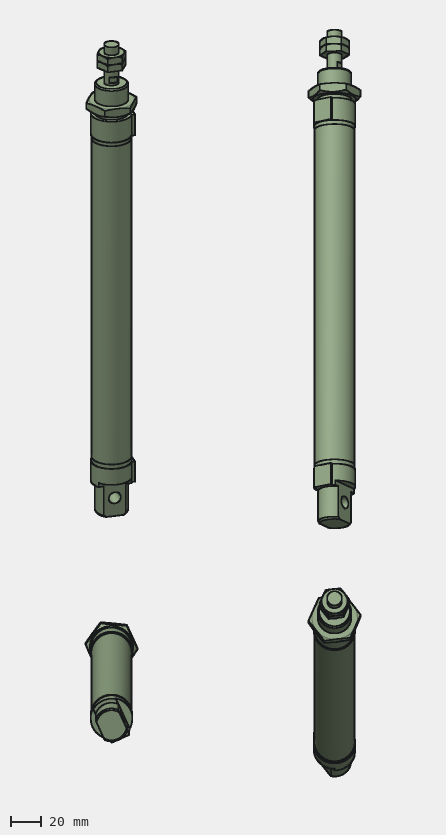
import cadquery as cq
import math

TOTAL_LENGTH = 339.0
REAR_CAP_BOTTOM = 22.5
FLATS_TOP = 25.5
REAR_CAP_TOP = 37.0
REAR_CRIMP_TOP = 40.0
FRONT_CRIMP_BOTTOM = 271.2
FRONT_CAP_BOTTOM = 274.0
FRONT_CAP_TOP = 289.0
NECK_TOP = 311.2

BARREL_DIAMETER = 26.5
CRIMP_DIAMETER = 26.8
CAP_DIAMETER = 27.5
NECK_DIAMETER = 22.0
NECK_CHAMFER = 1.0
PORT_PAD_WIDTH = 13.0
PORT_PAD_REACH = 14.2

TONGUE_THICKNESS = 16.3
TONGUE_CHAMFER_WIDTH = 1.0
TONGUE_CHAMFER_HEIGHT = 1.5
PIVOT_DIAMETER = 8.0
PIVOT_HEIGHT = 13.2

ROD_DIAMETER = 10.0
WRENCH_FLAT_SPAN = 8.0
WRENCH_FLAT_LENGTH = 4.0
WRENCH_FLAT_CENTER = 315.0

MOUNTING_NUT_SPAN = 30.0
MOUNTING_NUT_HEIGHT = 6.5
MOUNTING_NUT_BOTTOM = 292.5
MOUNTING_NUT_TOP_ANGLE = 15.0
MOUNTING_NUT_LOWER_FACE = 28.5
MOUNTING_NUT_LOWER_ANGLE = 30.0

ROD_NUT_SPAN = 17.0
ROD_NUT_HEIGHT = 5.0
ROD_NUT_BOTTOM = 323.0
ROD_NUT_COUNT = 2
ROD_NUT_TOP_ANGLE = 30.0

CUT_SIZE = 2 * CAP_DIAMETER

HEX_HALF_ANGLE = 30.0


def disc(diameter, bottom, top):
    """A round bar on the Z axis between two heights."""
    return cq.Workplane("XY").workplane(offset=bottom).circle(diameter / 2).extrude(top - bottom)


def side_cuts(span, bottom, top):
    """Two blocks that leave only the material within span along X."""
    center = (span + CUT_SIZE) / 2
    return (
        cq.Workplane("XY")
        .workplane(offset=bottom)
        .pushPoints([(-center, 0), (center, 0)])
        .rect(CUT_SIZE, CUT_SIZE)
        .extrude(top - bottom)
    )


def port_pad(bottom, top):
    """A flat pad on the +Y side of an end cap."""
    return (
        cq.Workplane("XY")
        .workplane(offset=bottom)
        .center(0, PORT_PAD_REACH / 2)
        .rect(PORT_PAD_WIDTH, PORT_PAD_REACH)
        .extrude(top - bottom)
    )


def make_housing():
    """Barrel, both end caps, threaded neck and rear pivot tongue."""
    tongue = (
        disc(NECK_DIAMETER, 0, REAR_CAP_BOTTOM)
        .faces("<Z")
        .chamfer(TONGUE_CHAMFER_HEIGHT, TONGUE_CHAMFER_WIDTH)
    )
    neck = disc(NECK_DIAMETER, FRONT_CAP_TOP, NECK_TOP).faces(">Z").chamfer(NECK_CHAMFER)
    housing = (
        tongue.union(disc(CAP_DIAMETER, REAR_CAP_BOTTOM, REAR_CAP_TOP))
        .union(port_pad(REAR_CAP_BOTTOM, REAR_CAP_TOP))
        .union(disc(CRIMP_DIAMETER, REAR_CAP_TOP, REAR_CRIMP_TOP))
        .union(disc(BARREL_DIAMETER, REAR_CRIMP_TOP, FRONT_CRIMP_BOTTOM))
        .union(disc(CRIMP_DIAMETER, FRONT_CRIMP_BOTTOM, FRONT_CAP_BOTTOM))
        .union(disc(CAP_DIAMETER, FRONT_CAP_BOTTOM, FRONT_CAP_TOP))
        .union(port_pad(FRONT_CAP_BOTTOM, FRONT_CAP_TOP))
        .union(neck)
    )
    pivot_hole = (
        cq.Workplane("YZ")
        .center(0, PIVOT_HEIGHT)
        .circle(PIVOT_DIAMETER / 2)
        .extrude(CUT_SIZE / 2, both=True)
    )
    return housing.cut(side_cuts(TONGUE_THICKNESS, 0, FLATS_TOP)).cut(pivot_hole)


def make_rod():
    """Piston rod standing on the neck, with two wrench flats facing X."""
    flats_bottom = WRENCH_FLAT_CENTER - WRENCH_FLAT_LENGTH / 2
    flats_top = WRENCH_FLAT_CENTER + WRENCH_FLAT_LENGTH / 2
    rod = disc(ROD_DIAMETER, NECK_TOP, TOTAL_LENGTH)
    return rod.cut(side_cuts(WRENCH_FLAT_SPAN, flats_bottom, flats_top))


def corner_diameter(span):
    """Distance across the corners of a hexagon with the given span across its flats."""
    return span / math.cos(math.radians(HEX_HALF_ANGLE))


def corner_cone(face_diameter, angle, outer_radius):
    """A flat face at Z = 0 whose rim slopes down to outer_radius, with a round body below."""
    slope = math.tan(math.radians(angle))
    rim_drop = (outer_radius - face_diameter / 2) * slope
    return (
        cq.Workplane("XZ")
        .lineTo(face_diameter / 2, 0)
        .lineTo(outer_radius, -rim_drop)
        .lineTo(outer_radius, -CUT_SIZE)
        .lineTo(0, -CUT_SIZE)
        .close()
        .revolve(360, (0, 0, 0), (0, 1, 0))
    )


def make_hex_nut(span, height, bore):
    """Hexagon nut standing on Z = 0, with two flats facing X and a through bore."""
    return (
        cq.Workplane("XY")
        .transformed(rotate=(0, 0, HEX_HALF_ANGLE))
        .polygon(6, corner_diameter(span))
        .circle(bore / 2)
        .extrude(height)
    )


def make_mounting_nut():
    """Thin nut on the neck, with a shallow upper corner chamfer and a steeper lower one."""
    outer_radius = corner_diameter(MOUNTING_NUT_SPAN) / 2
    upper_cone = corner_cone(MOUNTING_NUT_SPAN, MOUNTING_NUT_TOP_ANGLE, outer_radius)
    lower_cone = corner_cone(MOUNTING_NUT_LOWER_FACE, MOUNTING_NUT_LOWER_ANGLE, outer_radius)
    return (
        make_hex_nut(MOUNTING_NUT_SPAN, MOUNTING_NUT_HEIGHT, NECK_DIAMETER)
        .intersect(upper_cone.translate((0, 0, MOUNTING_NUT_HEIGHT)))
        .intersect(lower_cone.mirror("XY"))
        .translate((0, 0, MOUNTING_NUT_BOTTOM))
    )


def make_rod_nut(bottom):
    """Nut on the piston rod, with its upper corners chamfered."""
    outer_radius = corner_diameter(ROD_NUT_SPAN) / 2
    upper_cone = corner_cone(ROD_NUT_SPAN, ROD_NUT_TOP_ANGLE, outer_radius)
    return (
        make_hex_nut(ROD_NUT_SPAN, ROD_NUT_HEIGHT, ROD_DIAMETER)
        .intersect(upper_cone.translate((0, 0, ROD_NUT_HEIGHT)))
        .translate((0, 0, bottom))
    )


housing = make_housing()
rod = make_rod()
mounting_nut = make_mounting_nut()
rod_nuts = [make_rod_nut(ROD_NUT_BOTTOM + i * ROD_NUT_HEIGHT) for i in range(ROD_NUT_COUNT)]

result = cq.Compound.makeCompound(
    [housing.val(), rod.val(), mounting_nut.val(), *[nut.val() for nut in rod_nuts]]
)